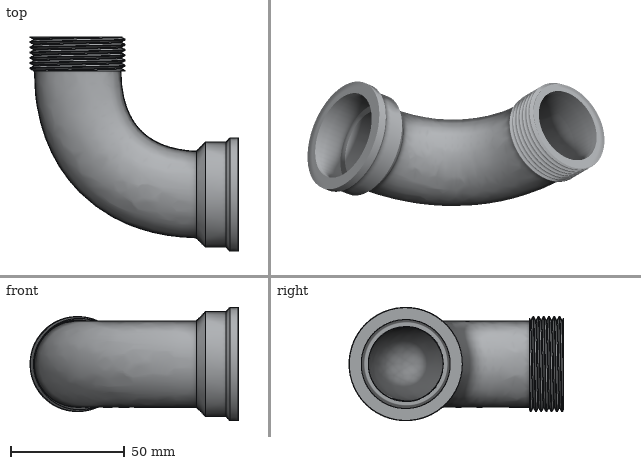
import cadquery as cq
import math

thread_face_y = 69.57
socket_face_x = 70.93

pipe_diameter = 38.2
bore_diameter = 33.0
bend_handle = 34.0

thread_major_diameter = 41.91
thread_minor_diameter = 38.95
thread_length = 15.0
inch = 25.4
threads_per_inch = 11
thread_pitch = inch / threads_per_inch
thread_half_angle = math.radians(27.5)
thread_crest_width = 0.3
thread_root_overlap = 0.1

rim_diameter = 50.0
rim_width = 3.7
rim_bevel_length = 1.7
socket_diameter = 46.5
socket_length = 9.0
cone_length = (socket_diameter - pipe_diameter) / 2
socket_bore_diameter = 39.27

bend_start_y = thread_face_y - thread_length
bend_end_x = bend_start_y
rim_x = socket_face_x - rim_width
bevel_x = rim_x - rim_bevel_length
cone_end_x = bevel_x - socket_length
cone_start_x = cone_end_x - cone_length


def pipe_run(diameter):
    """Round rod from the threaded face, round the bend and into the socket."""
    thread_face = cq.Vector(0, thread_face_y, 0)
    bend_start = cq.Vector(0, bend_start_y, 0)
    bend_end = cq.Vector(bend_end_x, 0, 0)
    socket_shoulder = cq.Vector(cone_end_x, 0, 0)
    start_handle = cq.Vector(0, bend_start_y - bend_handle, 0)
    end_handle = cq.Vector(bend_end_x - bend_handle, 0, 0)
    path = cq.Wire.assembleEdges(
        [
            cq.Edge.makeLine(thread_face, bend_start),
            cq.Edge.makeBezier([bend_start, start_handle, end_handle, bend_end]),
            cq.Edge.makeLine(bend_end, socket_shoulder),
        ]
    )
    return cq.Workplane("XZ", origin=(0, thread_face_y, 0)).circle(diameter / 2).sweep(cq.Workplane(path))


def cylinder_along_x(diameter, start_x, end_x):
    return cq.Workplane("YZ", origin=(start_x, 0, 0)).circle(diameter / 2).extrude(end_x - start_x)


def cylinder_along_y(diameter, start_y, end_y):
    return cq.Workplane("XZ", origin=(0, start_y, 0)).circle(diameter / 2).extrude(start_y - end_y)


def socket_body():
    """Cone, cylinder, bevel and rim turned about the X axis."""
    return (
        cq.Workplane("XY")
        .moveTo(cone_start_x, 0)
        .lineTo(cone_start_x, pipe_diameter / 2)
        .lineTo(cone_end_x, socket_diameter / 2)
        .lineTo(bevel_x, socket_diameter / 2)
        .lineTo(rim_x, rim_diameter / 2)
        .lineTo(socket_face_x, rim_diameter / 2)
        .lineTo(socket_face_x, 0)
        .close()
        .revolve(360, (0, 0, 0), (1, 0, 0))
    )


def thread_ridge():
    """Right-handed helical ridge that runs one turn past both ends of the threaded length."""
    crest_radius = thread_major_diameter / 2
    root_radius = thread_minor_diameter / 2 - thread_root_overlap
    half_crest = thread_crest_width / 2
    half_root = half_crest + (crest_radius - root_radius) * math.tan(thread_half_angle)
    helix_height = thread_length + 2 * thread_pitch
    helix = cq.Wire.makeHelix(thread_pitch, helix_height, thread_minor_diameter / 2)
    return (
        cq.Workplane("XZ")
        .moveTo(root_radius, -half_root)
        .lineTo(crest_radius, -half_crest)
        .lineTo(crest_radius, half_crest)
        .lineTo(root_radius, half_root)
        .close()
        .sweep(cq.Workplane(helix), isFrenet=True)
        .rotate((0, 0, 0), (1, 0, 0), -90)
        .translate((0, bend_start_y - thread_pitch, 0))
    )


def threaded_end():
    """Threaded core, made overlong and then cut flush at both ends of the threaded length."""
    overrun = 2 * thread_pitch
    core = cylinder_along_y(thread_minor_diameter, bend_start_y - overrun, thread_face_y + overrun)
    overlong_thread = core.union(thread_ridge())
    return overlong_thread.intersect(cylinder_along_y(rim_diameter, bend_start_y, thread_face_y))


outside = pipe_run(pipe_diameter).union(threaded_end()).union(socket_body())

socket_bore = cylinder_along_x(socket_bore_diameter, cone_end_x, socket_face_x)
passage = pipe_run(bore_diameter).union(socket_bore)

result = outside.cut(passage)